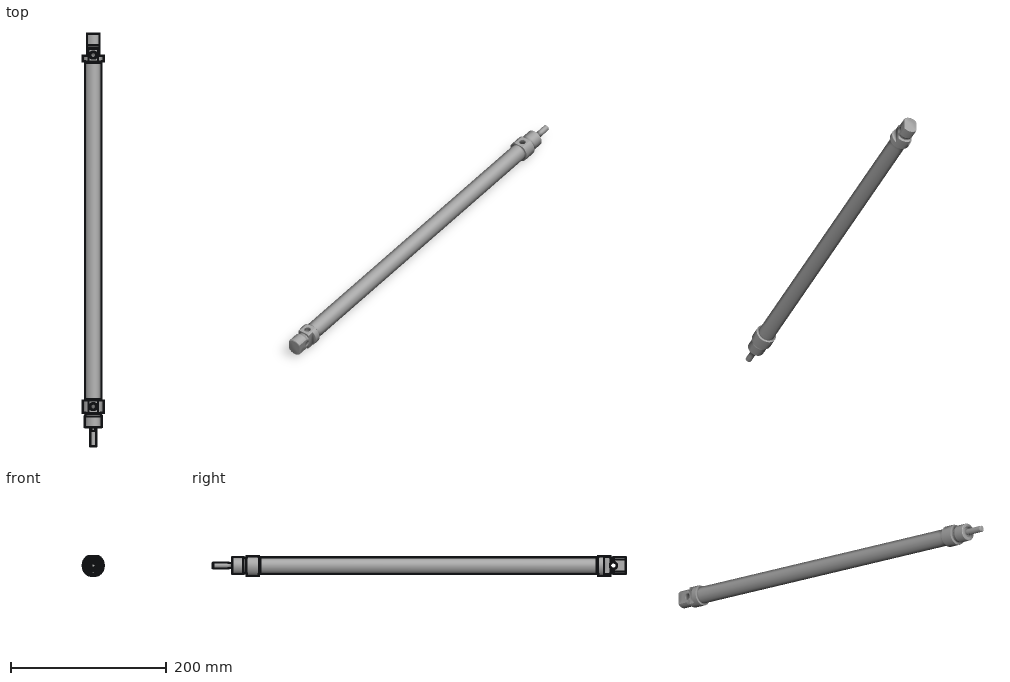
import cadquery as cq

total_length = 531.0
rod_length = 25.0
neck_length = 17.0
lug_length = 18.0
relief_length = 1.5
cap_length = 16.0
collar_length = 2.0

rod_diameter = 8.0
rod_tip_diameter = 6.0
wrench_flat_length = 5.0
wrench_flat_width = 7.0

neck_diameter = 22.5
end_face_diameter = 20.0
end_bevel_length = 0.5
relief_diameter = 19.5
relief_cone_length = 3.0
cap_diameter = 27.0
collar_diameter = 21.0
tube_diameter = 22.0

recess_mouth_diameter = 14.5
recess_floor_diameter = 12.0

flat_height = 11.95
port_diameter = 8.0
port_mouth_diameter = 9.0
rear_port_depth = 4.0
port_point_depth = 2.0

lug_width = 16.5
lug_flat_length = 28.0
pivot_diameter = 8.5
pivot_from_end = 16.0

neck_end = rod_length + neck_length
front_cap_start = neck_end + relief_length
front_cap_end = front_cap_start + cap_length
lug_start = total_length - lug_length
rear_cap_end = lug_start - relief_length
rear_cap_start = rear_cap_end - cap_length
tube_start = front_cap_end + collar_length
tube_end = rear_cap_start - collar_length

front_port_depth = flat_height


def cylinder(diameter, start, end):
    """Round bar on the Y axis between two stations."""
    return cq.Workplane("XZ", origin=(0, start, 0)).circle(diameter / 2).extrude(start - end)


def block(x_range, y_range, z_range):
    """Rectangular block given by its limits along each axis."""
    sizes = [high - low for low, high in (x_range, y_range, z_range)]
    corner = (x_range[0], y_range[0], z_range[0])
    return cq.Workplane("XY").box(*sizes, centered=False).translate(corner)


def make_rod():
    """Rod with a chamfered tip and wrench flats on its upper and lower sides."""
    tip_chamfer = (rod_diameter - rod_tip_diameter) / 2
    rod = cylinder(rod_diameter, 0, front_cap_end).faces("<Y").chamfer(tip_chamfer)
    flat = block(
        (-rod_diameter, rod_diameter),
        (rod_length - wrench_flat_length, rod_length),
        (wrench_flat_width / 2, rod_diameter),
    )
    return rod.cut(flat).cut(flat.mirror("XY"))


def end_piece(length):
    """Round end piece from Y = 0: bevelled outer face, cone down to the relief at the inner end."""
    radius = neck_diameter / 2
    relief_radius = relief_diameter / 2
    profile = [
        (0, 0),
        (end_face_diameter / 2, 0),
        (radius, end_bevel_length),
        (radius, length - relief_cone_length),
        (relief_radius, length),
        (0, length),
    ]
    axis_start, axis_end = (0, 0), (0, 1)
    return cq.Workplane("XY").polyline(profile).close().revolve(360, axis_start, axis_end)


def make_neck():
    """Front neck with a conical recess around the rod."""
    neck = end_piece(neck_length).translate((0, rod_length, 0))
    recess_depth = (recess_mouth_diameter - recess_floor_diameter) / 2
    recess = (
        cq.Workplane("XZ", origin=(0, rod_length, 0))
        .circle(recess_mouth_diameter / 2)
        .workplane(offset=-recess_depth)
        .circle(recess_floor_diameter / 2)
        .loft()
    )
    return neck.cut(recess)


def make_port(centre_y, depth):
    """Drilled port with a widened mouth and a conical bottom, opening at the cap flat."""
    mouth_radius = port_mouth_diameter / 2
    radius = port_diameter / 2
    mouth_floor = flat_height - (mouth_radius - radius)
    bottom = flat_height - depth
    profile = [
        (0, flat_height),
        (mouth_radius, flat_height),
        (radius, mouth_floor),
        (radius, bottom),
        (0, bottom - port_point_depth),
    ]
    axis_start, axis_end = (0, 0), (0, 1)
    port = cq.Workplane("XZ").polyline(profile).close().revolve(360, axis_start, axis_end)
    return port.translate((0, centre_y, 0))


def make_cap(start, port_depth):
    """End cap with a flat top and a port."""
    end = start + cap_length
    cap = cylinder(cap_diameter, start, end)
    above_flat = block((-cap_diameter, cap_diameter), (start, end), (flat_height, cap_diameter))
    return cap.cut(above_flat).cut(make_port(start + cap_length / 2, port_depth))


def make_lug_blank():
    """Round rear end piece, mirrored so that its bevelled face ends the part."""
    return end_piece(lug_length).mirror("XZ").translate((0, total_length, 0))


def make_body():
    """All the round sections joined along the Y axis; the rod crosses the front port."""
    return (
        make_neck()
        .union(cylinder(relief_diameter, neck_end, front_cap_start))
        .union(make_cap(front_cap_start, front_port_depth))
        .union(make_rod())
        .union(cylinder(collar_diameter, front_cap_end, tube_start))
        .union(cylinder(tube_diameter, tube_start, tube_end))
        .union(cylinder(collar_diameter, tube_end, rear_cap_start))
        .union(make_cap(rear_cap_start, rear_port_depth))
        .union(cylinder(relief_diameter, rear_cap_end, lug_start))
        .union(make_lug_blank())
    )


def cut_pivot_lug(body):
    """Flatten both sides of the rear end and drill the pivot hole through it."""
    side = block(
        (lug_width / 2, cap_diameter),
        (total_length - lug_flat_length, total_length),
        (-cap_diameter, cap_diameter),
    )
    pivot = (
        cq.Workplane("YZ", origin=(0, total_length - pivot_from_end, 0))
        .circle(pivot_diameter / 2)
        .extrude(cap_diameter, both=True)
    )
    return body.cut(side).cut(side.mirror("YZ")).cut(pivot)


result = cut_pivot_lug(make_body())